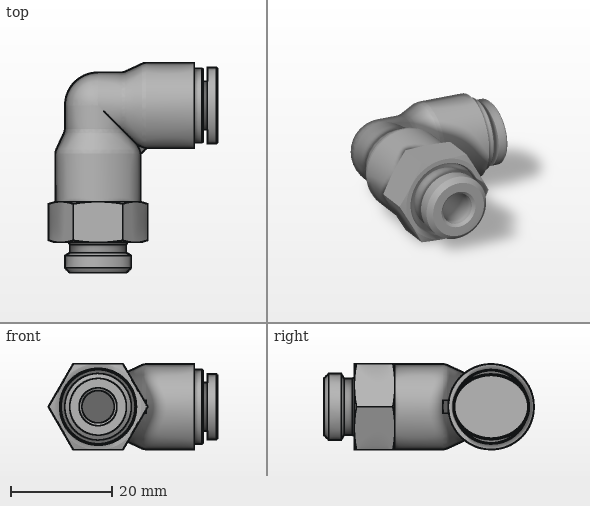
import cadquery as cq
import math


PIPE_R = 13.15 / 2
SOCKET_R = 16.9 / 2
CONE_START = 5.0
CONE_END = 9.08
CONE_BLEND_R = 1.85
BRANCH_LENGTH = 19.0
WEB_OFFSET = 9.55
WEB_THICKNESS = 2.6

COLLAR_R = 14.7 / 2
COLLAR_LENGTH = 1.75
COLLAR_CHAMFER = 0.25

BUTTON_STEM_R = 9.6 / 2
BUTTON_GAP = 0.83
FLANGE_THICKNESS = 2.05
FLANGE_WIDTH = 15.05
FLANGE_HEIGHT = 12.95
FLANGE_CHAMFER = 0.3

HEX_ACROSS_FLATS = 17.0
HEX_LENGTH = 8.0
HEX_CHAMFER_LENGTH = 0.4
HEX_FACE_R = HEX_ACROSS_FLATS / 2
HEX_CORNER_R = HEX_FACE_R / math.cos(math.pi / 6)
OVERALL_LENGTH = 41.45
STUD_END = OVERALL_LENGTH - SOCKET_R
THREAD_R = 13.15 / 2
THREAD_TIP_R = 11.2 / 2
RELIEF_R = 11.2 / 2
RELIEF_FLARE_LENGTH = 0.45
RELIEF_FLARE_ANGLE = 25
THREAD_LENGTH = 3.98
THREAD_LEAD_LENGTH = 0.6
SEAL_R = 15.15 / 2
SEAL_FLOOR_R = 14.6 / 2
SEAL_DEPTH = 1.0
BORE_R = 6.4 / 2
BORE_MOUTH_R = 7.45 / 2


def revolve_about_x(points):
    return cq.Workplane("XY").polyline(points).close().revolve(360, (0, 0, 0), (1, 0, 0))


def to_stud_axis(shape):
    """Turn a shape built along +X so that it runs along -Y."""
    return shape.rotate((0, 0, 0), (0, 0, 1), -90)


def make_branch():
    profile = [
        (0, 0),
        (0, PIPE_R),
        (CONE_START, PIPE_R),
        (CONE_END, SOCKET_R),
        (BRANCH_LENGTH, SOCKET_R),
        (BRANCH_LENGTH, 0),
    ]
    return revolve_about_x(profile).faces("%CONE").edges("%CIRCLE").fillet(CONE_BLEND_R)


def make_corner_web():
    """Triangular plate filling the inner corner between the branches."""
    corner = [
        (0, 0),
        (WEB_OFFSET, -SOCKET_R),
        (SOCKET_R, -WEB_OFFSET),
    ]
    return cq.Workplane("XY").polyline(corner).close().extrude(WEB_THICKNESS / 2, both=True)


def make_elbow():
    branch = make_branch()
    corner = cq.Workplane("XY").sphere(PIPE_R)
    return branch.union(to_stud_axis(branch)).union(corner).union(make_corner_web())


def make_collar():
    start = BRANCH_LENGTH
    end = start + COLLAR_LENGTH
    profile = [
        (start, BUTTON_STEM_R),
        (start, COLLAR_R),
        (end - COLLAR_CHAMFER, COLLAR_R),
        (end, COLLAR_R - COLLAR_CHAMFER),
        (end, BUTTON_STEM_R),
    ]
    return revolve_about_x(profile)


def make_release_button():
    """Round stem through the collar, with an oval flange in front of it."""
    stem_length = COLLAR_LENGTH + BUTTON_GAP
    stem = cq.Workplane("YZ", origin=(BRANCH_LENGTH, 0, 0)).circle(BUTTON_STEM_R).extrude(stem_length)
    flange = (
        cq.Workplane("YZ", origin=(BRANCH_LENGTH + stem_length, 0, 0))
        .ellipse(FLANGE_WIDTH / 2, FLANGE_HEIGHT / 2)
        .extrude(FLANGE_THICKNESS)
        .faces(">X")
        .chamfer(FLANGE_CHAMFER)
    )
    return stem.union(flange)


def make_hexagon():
    """Hexagon along +X with two flats facing up and down, bevelled at both ends."""
    start = BRANCH_LENGTH
    end = start + HEX_LENGTH
    prism = cq.Workplane("YZ", origin=(start, 0, 0)).polygon(6, 2 * HEX_CORNER_R).extrude(HEX_LENGTH)
    bevel = [
        (start, 0),
        (start, HEX_FACE_R),
        (start + HEX_CHAMFER_LENGTH, HEX_CORNER_R),
        (end - HEX_CHAMFER_LENGTH, HEX_CORNER_R),
        (end, HEX_FACE_R),
        (end, 0),
    ]
    return prism.intersect(revolve_about_x(bevel))


def make_stud():
    face = BRANCH_LENGTH + HEX_LENGTH
    seal_floor = face - SEAL_DEPTH
    flare_end = face + RELIEF_FLARE_LENGTH
    flare_r = RELIEF_R + (flare_end - seal_floor) * math.tan(math.radians(RELIEF_FLARE_ANGLE))
    lead_start = STUD_END - THREAD_LENGTH
    tip_bevel = THREAD_R - THREAD_TIP_R

    recess = revolve_about_x([
        (seal_floor, 0),
        (seal_floor, SEAL_FLOOR_R),
        (face, SEAL_R),
        (face, 0),
    ])
    spigot = revolve_about_x([
        (BRANCH_LENGTH, 0),
        (BRANCH_LENGTH, RELIEF_R),
        (seal_floor, RELIEF_R),
        (seal_floor, flare_r),
        (flare_end, RELIEF_R),
        (lead_start, RELIEF_R),
        (lead_start + THREAD_LEAD_LENGTH, THREAD_R),
        (STUD_END - tip_bevel, THREAD_R),
        (STUD_END, THREAD_TIP_R),
        (STUD_END, 0),
    ])
    bore = revolve_about_x([
        (BRANCH_LENGTH, 0),
        (BRANCH_LENGTH, BORE_R),
        (STUD_END - (BORE_MOUTH_R - BORE_R), BORE_R),
        (STUD_END, BORE_MOUTH_R),
        (STUD_END, 0),
    ])
    return to_stud_axis(make_hexagon().cut(recess).union(spigot).cut(bore))


elbow = make_elbow()
collar = make_collar()
release_button = make_release_button()
stud = make_stud()

result = cq.Compound.makeCompound([
    elbow.val(),
    collar.val(),
    release_button.val(),
    stud.val(),
])